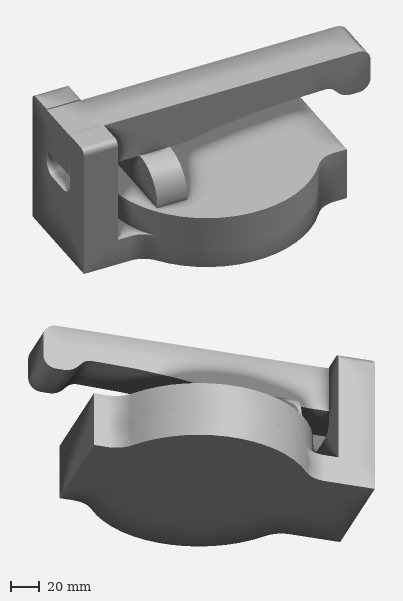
import cadquery as cq


DISC_RADIUS = 79.99
TAB_WIDTH = DISC_RADIUS
TAB_REACH = 90.0
TAB_BLEND = 20.0
PLATE_THICKNESS = 20.9
PLATE_TOP = 2 * PLATE_THICKNESS

BRACKET_DEPTH = 26.8
BRACKET_HEIGHT = 105.0
BRACKET_FRONT = -TAB_REACH - BRACKET_DEPTH
BRACKET_CORNER = 5.0
SLOT_WIDTH = 36.3
SLOT_FLOOR = 52.4
SLOT_CORNER = 10.0

LEVER_LENGTH = 237.0
LEVER_WIDTH = 35.0
LEVER_BOTTOM = 70.0
LEVER_TOP = 104.5
LEVER_TIP = BRACKET_FRONT + LEVER_LENGTH
TIP_CORNER = 9.5
KNOB_FOOT_Y = 99.0
KNOB_RADIUS = 14.2
NECK_Y = 88.6
NECK_Z = 80.5
NECK_RADIUS = 10.0
GRIP_MID = (21.8, 77.5)
GRIP_LOW = (-5.0, 74.0)
GRIP_END_Y = -26.5

PIN_RADIUS = 5.0
PIN_Y = BRACKET_FRONT + BRACKET_DEPTH / 2
PIN_Z = (LEVER_BOTTOM + LEVER_TOP) / 2

PRESSER_WIDTH = 89.5
PRESSER_DEPTH = 23.7
PRESSER_Y = -49.8
PRESSER_HEIGHT = LEVER_BOTTOM - PLATE_TOP
PRESSER_CORNER = 25.8


def centred_box(width, depth, height, y_start, z_start):
    """Box centred in X, starting at the given Y and Z."""
    box = cq.Workplane("XY").box(width, depth, height, centered=(True, False, False))
    return box.translate((0, y_start, z_start))


def tabbed_disc(tab_start, tab_length):
    """Disc crossed by a strip in Y, with the inside corners blended."""
    disc = cq.Workplane("XY").circle(DISC_RADIUS).extrude(PLATE_THICKNESS)
    strip = centred_box(TAB_WIDTH, tab_length, PLATE_THICKNESS, tab_start, 0)
    body = disc.union(strip)
    corner_zone = cq.selectors.BoxSelector(
        (-DISC_RADIUS, -DISC_RADIUS, 0),
        (DISC_RADIUS, DISC_RADIUS, PLATE_THICKNESS),
    )
    inside_corners = body.edges("|Z").edges(corner_zone)
    return inside_corners.fillet(TAB_BLEND)


def pin_cylinder():
    pin = cq.Workplane("YZ").center(PIN_Y, PIN_Z).circle(PIN_RADIUS)
    return pin.extrude(TAB_WIDTH / 2, both=True)


def make_base():
    return tabbed_disc(-TAB_REACH, 2 * TAB_REACH)


def make_plate():
    return tabbed_disc(0, TAB_REACH).translate((0, 0, PLATE_THICKNESS))


def make_bracket():
    block = centred_box(TAB_WIDTH, BRACKET_DEPTH, BRACKET_HEIGHT, BRACKET_FRONT, 0)
    block = block.edges("|Y and >Z").fillet(BRACKET_CORNER)
    slot = centred_box(SLOT_WIDTH, BRACKET_DEPTH, BRACKET_HEIGHT, BRACKET_FRONT, SLOT_FLOOR)
    slot = slot.edges("|Y and <Z").fillet(SLOT_CORNER)
    return block.cut(slot).cut(pin_cylinder())


def make_lever():
    body = (
        cq.Workplane("YZ")
        .moveTo(BRACKET_FRONT, LEVER_BOTTOM)
        .lineTo(BRACKET_FRONT, LEVER_TOP)
        .lineTo(LEVER_TIP, LEVER_TOP)
        .lineTo(LEVER_TIP, LEVER_BOTTOM)
        .lineTo(KNOB_FOOT_Y, LEVER_BOTTOM)
        .lineTo(NECK_Y, NECK_Z)
        .spline([GRIP_MID, GRIP_LOW, (GRIP_END_Y, LEVER_BOTTOM)], includeCurrent=True)
        .close()
        .extrude(LEVER_WIDTH / 2, both=True)
    )
    rounded_corners = [
        (LEVER_TIP, LEVER_TOP, TIP_CORNER),
        (LEVER_TIP, LEVER_BOTTOM, TIP_CORNER),
        (KNOB_FOOT_Y, LEVER_BOTTOM, KNOB_RADIUS),
        (NECK_Y, NECK_Z, NECK_RADIUS),
    ]
    for y, z, radius in rounded_corners:
        corner = cq.selectors.NearestToPointSelector((0, y, z))
        body = body.edges("|X").edges(corner).fillet(radius)
    return body.cut(pin_cylinder())


def make_presser():
    block = centred_box(
        PRESSER_WIDTH, PRESSER_DEPTH, PRESSER_HEIGHT, PRESSER_Y - PRESSER_DEPTH / 2, PLATE_TOP
    )
    return block.edges("|Y and >Z").fillet(PRESSER_CORNER)


base = make_base()
plate = make_plate()
bracket = make_bracket()
lever = make_lever()
pin = pin_cylinder()
presser = make_presser()

result = cq.Compound.makeCompound(
    [base.val(), plate.val(), bracket.val(), lever.val(), pin.val(), presser.val()]
)